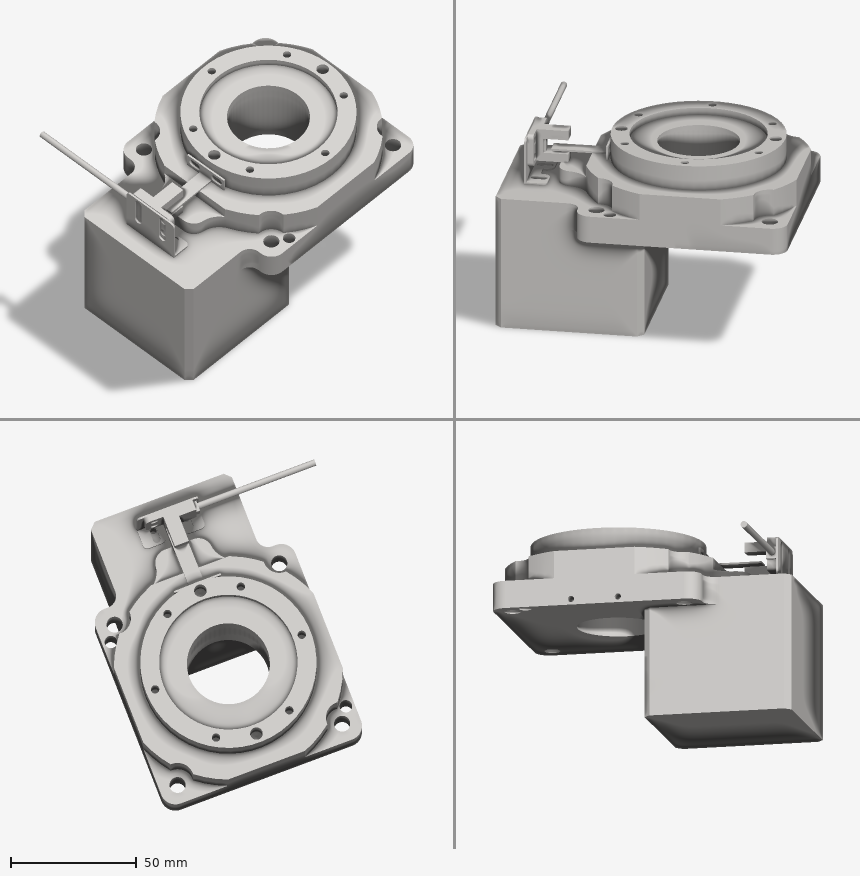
import cadquery as cq
import math


PLATE_SIDE = 85.0
PLATE_HEIGHT = 11.1
PLATE_CORNER_RADIUS = 6.0
MOTOR_SIDE = 60.0
MOTOR_DROP = 44.0
MOTOR_CHAMFER = 2.5
NECK_RADIUS = 5.0
OVERALL_LENGTH = 119.5
MOTOR_FRONT_Y = PLATE_SIDE / 2 - OVERALL_LENGTH

DECK_RADIUS = 45.5
DECK_HEIGHT = 11.1
DECK_TOP_Z = PLATE_HEIGHT + DECK_HEIGHT
BOSS_FRONT_Y = -55.1
BOSS_CORNER_X = 6.1
BOSS_CORNER_RADIUS = 5.7
BOSS_BLEND_RADIUS = 10.0
BOSS_STEP = 4.8

TABLE_DIAMETER = 70.0
TABLE_HEIGHT = 10.3
TABLE_TOP_Z = DECK_TOP_Z + TABLE_HEIGHT
TABLE_RECESS_DIAMETER = 55.0
TABLE_RECESS_DEPTH = 3.0
BORE_DIAMETER = 33.0

MOUNT_HOLE_OFFSET = 35.0
MOUNT_HOLE_DIAMETER = 6.5
MOUNT_POCKET_RADIUS = 6.5
DOWEL_HOLE_X = 39.0
DOWEL_HOLE_Y = 28.9
DOWEL_HOLE_DIAMETER = 5.0

TABLE_HOLE_CIRCLE_RADIUS = 31.2
TABLE_SCREW_ANGLES = (0, 60, 120, 180, 240, 300)
TABLE_SCREW_DIAMETER = 3.3
TABLE_PIN_ANGLES = (90, 270)
TABLE_PIN_DIAMETER = 5.0
TABLE_HOLE_DEPTH = 7.2
SIDE_HOLE_Y = 9.6
SIDE_HOLE_Z = 2.3
SIDE_HOLE_DIAMETER = 2.5
TAPPED_HOLE_DEPTH = 6.0
DRILL_TIP_ANGLE = 118.0

SHEET = 0.8

FLAG_TILT = 0.7
FLAG_CENTER_X = -0.8
FLAG_PLATE_WIDTH = 20.0
FLAG_PLATE_HEIGHT = 6.0
FLAG_STRIP_WIDTH = 6.3
FLAG_TIP_Y = -59.0
FLAG_BEND_RADIUS = 0.5
FLAG_SLOT_OFFSET = 6.0
FLAG_SLOT_LENGTH = 5.7
FLAG_SLOT_WIDTH = 3.2
FLAG_SLOT_CENTER_HEIGHT = 3.1

BRACKET_WIDTH = 26.0
BRACKET_HEIGHT = 19.4
BRACKET_FRONT_Y = -68.1
BRACKET_BACK_Y = BRACKET_FRONT_Y + SHEET
BRACKET_CORNER_RADIUS = 1.8
FOOT_LENGTH = 9.1
FOOT_EDGE_Y = BRACKET_FRONT_Y + FOOT_LENGTH
FOOT_NOTCH_WIDTH = 5.4
FOOT_NOTCH_DEPTH = 4.3
FOOT_NOTCH_RADIUS = 3.2
FOOT_SLOT_X = 7.0
FOOT_SLOT_LENGTH = 6.7
FOOT_SLOT_WIDTH = 3.0
FOOT_SLOT_MARGIN = 0.8
FOOT_SCREW_Y = -65.1
FOOT_SCREW_DIAMETER = 2.5
FACE_SLOT_X = 6.6
FACE_SLOT_LENGTH = 13.0
FACE_SLOT_WIDTH = 3.6
FACE_SLOT_CENTER_HEIGHT = 12.1

SENSOR_BOTTOM = 6.3
SENSOR_TOP = 19.8
SENSOR_LEFT_X = -10.5
SENSOR_RIGHT_X = 10.3
SENSOR_DEPTH = 4.3
SENSOR_LEFT_RADIUS = 1.0
EAR_DEPTH = 2.4
EAR_RADIUS = 1.8
EAR_HOLE_DIAMETER = 3.2
EAR_HOLE_SPACING = 6.9
EAR_HOLE_CENTER_HEIGHT = 12.9
FORK_LEFT_X = -3.1
FORK_WIDTH = 6.0
FORK_TIP_Y = -52.1
FORK_GAP_BOTTOM = 9.9
FORK_GAP_TOP = 15.9
FORK_GAP_END_Y = -62.3
LENS_WIDTH = 3.6
LENS_DEPTH = 0.8
CABLE_BLOCK_LENGTH = 1.5
CABLE_BLOCK_HEIGHT = 4.8
CABLE_DIAMETER = 2.6
CABLE_Y = -65.5
CABLE_HEIGHT = 13.3
OVERALL_WIDTH = 104.5
CABLE_END_X = PLATE_SIDE / 2 - OVERALL_WIDTH


def box(x_range, y_range, z_range):
    """Box between two limits on each axis."""
    lows, highs = zip(x_range, y_range, z_range)
    sizes = [high - low for low, high in zip(lows, highs)]
    return cq.Workplane("XY").box(*sizes, centered=False).translate(lows)


def drilled_hole(diameter, depth):
    """Cutter for a blind hole going down from the origin, with a conical drill tip."""
    radius = diameter / 2
    tip = radius / math.tan(math.radians(DRILL_TIP_ANGLE / 2))
    profile = [(0, 0), (radius, 0), (radius, -depth), (0, -depth - tip)]
    return cq.Workplane("XZ").polyline(profile).close().revolve(360, (0, 0, 0), (0, 1, 0))


def make_base():
    """Mounting plate with the motor block hanging from its front half."""
    half_plate = PLATE_SIDE / 2
    half_motor = MOTOR_SIDE / 2
    plate = (
        cq.Workplane("XY")
        .rect(PLATE_SIDE, PLATE_SIDE)
        .extrude(PLATE_HEIGHT)
        .edges("|Z")
        .fillet(PLATE_CORNER_RADIUS)
    )
    motor = box(
        (-half_motor, half_motor),
        (MOTOR_FRONT_Y, MOTOR_FRONT_Y + MOTOR_SIDE),
        (-MOTOR_DROP, PLATE_HEIGHT),
    )
    motor = motor.edges("|Z").chamfer(MOTOR_CHAMFER)
    base = plate.union(motor)
    neck_fill = box((0, NECK_RADIUS), (-NECK_RADIUS, 0), (0, PLATE_HEIGHT))
    neck_curve = cq.Workplane("XY", origin=(NECK_RADIUS, -NECK_RADIUS, 0))
    neck_curve = neck_curve.circle(NECK_RADIUS).extrude(PLATE_HEIGHT)
    right_neck = neck_fill.cut(neck_curve).translate((half_motor, -half_plate, 0))
    return base.union(right_neck).union(right_neck.mirror("YZ"))


def make_deck_boss():
    """Front boss of the deck: rounded corners blended by hollow arcs into the deck circle."""
    corner_y = BOSS_FRONT_Y + BOSS_CORNER_RADIUS
    blend_reach = DECK_RADIUS + BOSS_BLEND_RADIUS
    corner_reach = BOSS_CORNER_RADIUS + BOSS_BLEND_RADIUS
    corner_distance = math.hypot(BOSS_CORNER_X, corner_y)
    cosine = (blend_reach**2 + corner_distance**2 - corner_reach**2) / (2 * blend_reach * corner_distance)
    blend_angle = math.atan2(corner_y, BOSS_CORNER_X) + math.acos(cosine)
    blend_x = blend_reach * math.cos(blend_angle)
    blend_y = blend_reach * math.sin(blend_angle)

    deck_tangent = (DECK_RADIUS * math.cos(blend_angle), DECK_RADIUS * math.sin(blend_angle))
    corner_share = BOSS_CORNER_RADIUS / corner_reach
    corner_tangent = (
        BOSS_CORNER_X + (blend_x - BOSS_CORNER_X) * corner_share,
        corner_y + (blend_y - corner_y) * corner_share,
    )
    return (
        cq.Workplane("XY")
        .workplane(offset=PLATE_HEIGHT)
        .lineTo(*deck_tangent)
        .radiusArc(corner_tangent, -BOSS_BLEND_RADIUS)
        .radiusArc((BOSS_CORNER_X, BOSS_FRONT_Y), BOSS_CORNER_RADIUS)
        .lineTo(0, BOSS_FRONT_Y)
        .mirrorY()
        .extrude(DECK_HEIGHT)
    )


def make_deck():
    """Round deck trimmed to the plate, with a stepped-down boss and pockets around the mounting holes."""
    half_plate = PLATE_SIDE / 2
    deck = cq.Workplane("XY").workplane(offset=PLATE_HEIGHT).circle(DECK_RADIUS).extrude(DECK_HEIGHT)
    deck = deck.intersect(cq.Workplane("XY").rect(PLATE_SIDE, PLATE_SIDE).extrude(DECK_TOP_Z))
    deck = deck.union(make_deck_boss())
    step = box((-half_plate, half_plate), (BOSS_FRONT_Y, -half_plate), (DECK_TOP_Z - BOSS_STEP, DECK_TOP_Z))
    deck = deck.cut(step)

    pocket_range = (MOUNT_HOLE_OFFSET - MOUNT_POCKET_RADIUS, half_plate)
    pocket = box(pocket_range, pocket_range, (PLATE_HEIGHT, DECK_TOP_Z))
    inner_edge = cq.selectors.NearestToPointSelector((0, 0, PLATE_HEIGHT + DECK_HEIGHT / 2))
    pocket = pocket.edges(inner_edge).fillet(MOUNT_POCKET_RADIUS)
    for angle in (0, 90, 180, 270):
        deck = deck.cut(pocket.rotate((0, 0, 0), (0, 0, 1), angle))
    return deck


def make_stage():
    """Stage body with its table, bore and all holes."""
    table = cq.Workplane("XY").workplane(offset=DECK_TOP_Z).circle(TABLE_DIAMETER / 2).extrude(TABLE_HEIGHT)
    stage = make_base().union(make_deck()).union(table)

    table_top = cq.Workplane("XY").workplane(offset=TABLE_TOP_Z)
    stage = stage.cut(table_top.circle(TABLE_RECESS_DIAMETER / 2).extrude(-TABLE_RECESS_DEPTH))
    stage = stage.cut(table_top.circle(BORE_DIAMETER / 2).extrude(-TABLE_TOP_Z))

    mount_points = [
        (x, y)
        for x in (-MOUNT_HOLE_OFFSET, MOUNT_HOLE_OFFSET)
        for y in (-MOUNT_HOLE_OFFSET, MOUNT_HOLE_OFFSET)
    ]
    dowel_points = [(-DOWEL_HOLE_X, DOWEL_HOLE_Y), (DOWEL_HOLE_X, -DOWEL_HOLE_Y)]
    through_holes = ((mount_points, MOUNT_HOLE_DIAMETER), (dowel_points, DOWEL_HOLE_DIAMETER))
    for points, diameter in through_holes:
        stage = stage.cut(cq.Workplane("XY").pushPoints(points).circle(diameter / 2).extrude(PLATE_HEIGHT))

    table_holes = ((TABLE_SCREW_ANGLES, TABLE_SCREW_DIAMETER), (TABLE_PIN_ANGLES, TABLE_PIN_DIAMETER))
    for angles, diameter in table_holes:
        hole = drilled_hole(diameter, TABLE_HOLE_DEPTH).translate((TABLE_HOLE_CIRCLE_RADIUS, 0, TABLE_TOP_Z))
        for angle in angles:
            stage = stage.cut(hole.rotate((0, 0, 0), (0, 0, 1), angle))

    side_hole = drilled_hole(SIDE_HOLE_DIAMETER, TAPPED_HOLE_DEPTH).rotate((0, 0, 0), (0, 1, 0), -90)
    foot_hole = drilled_hole(FOOT_SCREW_DIAMETER, TAPPED_HOLE_DEPTH)
    for side in (-1, 1):
        stage = stage.cut(side_hole.translate((-PLATE_SIDE / 2, side * SIDE_HOLE_Y, SIDE_HOLE_Z)))
        stage = stage.cut(foot_hole.translate((side * FOOT_SLOT_X, FOOT_SCREW_Y, PLATE_HEIGHT)))
    return stage


def make_flag():
    """Bent flag: a slotted plate against the table rim and a strip reaching into the sensor."""
    rim_y = -TABLE_DIAMETER / 2
    front_y = rim_y - SHEET
    half_plate = FLAG_PLATE_WIDTH / 2
    half_strip = FLAG_STRIP_WIDTH / 2
    plate = box((-half_plate, half_plate), (front_y, rim_y), (0, FLAG_PLATE_HEIGHT))
    strip = box((-half_strip, half_strip), (FLAG_TIP_Y, front_y), (0, SHEET))
    flag = plate.union(strip)
    bend = cq.selectors.NearestToPointSelector((0, front_y, SHEET))
    flag = flag.edges(bend).fillet(FLAG_BEND_RADIUS)
    slots = (
        cq.Workplane("XZ", origin=(0, rim_y, FLAG_SLOT_CENTER_HEIGHT))
        .pushPoints([(-FLAG_SLOT_OFFSET, 0), (FLAG_SLOT_OFFSET, 0)])
        .slot2D(FLAG_SLOT_LENGTH, FLAG_SLOT_WIDTH)
        .extrude(SHEET)
    )
    flag = flag.cut(slots).translate((FLAG_CENTER_X, 0, DECK_TOP_Z))
    return flag.rotate((0, 0, 0), (0, 0, 1), FLAG_TILT)


def make_bracket():
    """L-shaped bracket: a slotted upright face and a notched, slotted foot."""
    half_width = BRACKET_WIDTH / 2
    face = box((-half_width, half_width), (BRACKET_FRONT_Y, BRACKET_BACK_Y), (0, BRACKET_HEIGHT))
    face = face.edges("|Y and >Z").fillet(BRACKET_CORNER_RADIUS)
    foot = box((-half_width, half_width), (BRACKET_FRONT_Y, FOOT_EDGE_Y), (0, SHEET))
    foot = foot.edges("|Z and >Y").fillet(BRACKET_CORNER_RADIUS)
    half_notch = FOOT_NOTCH_WIDTH / 2
    notch = box((-half_notch, half_notch), (FOOT_EDGE_Y - FOOT_NOTCH_DEPTH, FOOT_EDGE_Y), (0, SHEET))
    foot = foot.cut(notch)
    for side in (-1, 1):
        lobe_corner = cq.selectors.NearestToPointSelector((side * half_notch, FOOT_EDGE_Y, SHEET / 2))
        foot = foot.edges(lobe_corner).fillet(FOOT_NOTCH_RADIUS)

    foot_slot_y = FOOT_EDGE_Y - FOOT_SLOT_MARGIN - FOOT_SLOT_LENGTH / 2
    foot_slots = (
        cq.Workplane("XY")
        .pushPoints([(-FOOT_SLOT_X, foot_slot_y), (FOOT_SLOT_X, foot_slot_y)])
        .slot2D(FOOT_SLOT_LENGTH, FOOT_SLOT_WIDTH, 90)
        .extrude(SHEET)
    )
    face_slots = (
        cq.Workplane("XZ", origin=(0, BRACKET_BACK_Y, FACE_SLOT_CENTER_HEIGHT))
        .pushPoints([(-FACE_SLOT_X, 0), (FACE_SLOT_X, 0)])
        .slot2D(FACE_SLOT_LENGTH, FACE_SLOT_WIDTH, 90)
        .extrude(SHEET)
    )
    return face.union(foot).cut(foot_slots).cut(face_slots).translate((0, 0, PLATE_HEIGHT))


def make_sensor():
    """Fork sensor with a drilled ear on one side and its cable on the other."""
    mount_y = BRACKET_BACK_Y
    body_back_y = mount_y + SENSOR_DEPTH
    middle_height = (SENSOR_BOTTOM + SENSOR_TOP) / 2
    heights = (SENSOR_BOTTOM, SENSOR_TOP)
    fork_right_x = FORK_LEFT_X + FORK_WIDTH

    body = box((SENSOR_LEFT_X, fork_right_x), (mount_y, body_back_y), heights)
    body = body.edges("|Y and <X").fillet(SENSOR_LEFT_RADIUS)
    ear = box((fork_right_x, SENSOR_RIGHT_X), (mount_y, mount_y + EAR_DEPTH), heights)
    ear = ear.edges("|Y and >X").fillet(EAR_RADIUS)
    ear_holes = (
        cq.Workplane("XZ", origin=(FACE_SLOT_X, mount_y, EAR_HOLE_CENTER_HEIGHT))
        .pushPoints([(0, -EAR_HOLE_SPACING / 2), (0, EAR_HOLE_SPACING / 2)])
        .circle(EAR_HOLE_DIAMETER / 2)
        .extrude(-EAR_DEPTH)
    )

    fork = box((FORK_LEFT_X, fork_right_x), (mount_y, FORK_TIP_Y), heights)
    gap_heights = (FORK_GAP_BOTTOM, FORK_GAP_TOP)
    gap = box((FORK_LEFT_X, fork_right_x), (FORK_GAP_END_Y, FORK_TIP_Y), gap_heights)
    lens_left_x = FORK_LEFT_X + (FORK_WIDTH - LENS_WIDTH) / 2
    lens = box(
        (lens_left_x, lens_left_x + LENS_WIDTH),
        (FORK_GAP_END_Y, FORK_GAP_END_Y + LENS_DEPTH),
        gap_heights,
    )

    block_end_x = SENSOR_LEFT_X - CABLE_BLOCK_LENGTH
    cable_block = box(
        (block_end_x, SENSOR_LEFT_X),
        (mount_y, body_back_y),
        (middle_height - CABLE_BLOCK_HEIGHT / 2, middle_height + CABLE_BLOCK_HEIGHT / 2),
    )
    cable = (
        cq.Workplane("YZ", origin=(CABLE_END_X, CABLE_Y, CABLE_HEIGHT))
        .circle(CABLE_DIAMETER / 2)
        .extrude(block_end_x - CABLE_END_X)
    )
    sensor = body.union(fork).cut(gap).union(lens).union(ear.cut(ear_holes))
    sensor = sensor.union(cable_block).union(cable)
    return sensor.translate((0, 0, PLATE_HEIGHT))


stage = make_stage()
flag = make_flag()
bracket = make_bracket()
sensor = make_sensor()

result = cq.Compound.makeCompound([stage.val(), flag.val(), bracket.val(), sensor.val()])